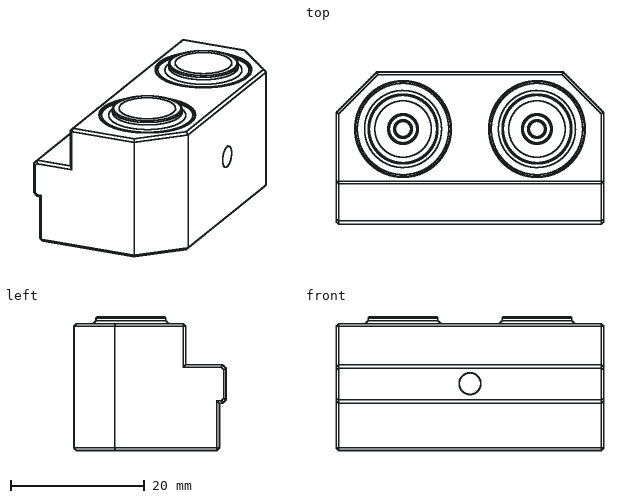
import cadquery as cq

LENGTH = 40.0
DEPTH = 22.75
BLOCK_HEIGHT = 18.95
CORNER_CUT = 6.1
LEDGE_BOTTOM = 7.05
LEDGE_TOP = 12.85
LOWER_WALL_SETBACK = 1.0
UPPER_WALL_SETBACK = 6.05
EDGE_CHAMFER = 0.4
SELECTION_MARGIN = 0.05
LEDGE_CHAMFER = 0.55
CROSS_HOLE_DIAMETER = 3.2
CROSS_HOLE_HEIGHT = 10.0

BUSHING_SPACING = 20.0
BUSHING_SETBACK = 14.25
BUSHING_TOP = 20.0
BUSHING_DIAMETER = 14.2
FLANGE_RECESS = 0.1
FLANGE_CHAMFER = 0.3
SEAT_MOUTH_CHAMFER = 0.1
CONE_BASE_DIAMETER = 11.5
FLANGE_TOP = BLOCK_HEIGHT - FLANGE_RECESS
RIM_DIAMETER = 10.45
RIM_HEIGHT = 0.6
RIM_CHAMFER = 0.2
BORE_DIAMETER = 8.45

BUSHING_BOTTOM = 6.0

COUNTERBORE_DIAMETER = 4.1
COUNTERBORE_DEPTH = 3.0
SCREW_HOLE_DIAMETER = 2.3
HOLE_CHAMFER = 0.25

BUSHING_CENTRES = [(side * BUSHING_SPACING / 2, BUSHING_SETBACK) for side in (-1, 1)]


def cylinder(diameter, bottom, top):
    return cq.Workplane("XY").workplane(offset=bottom).circle(diameter / 2).extrude(top - bottom)


def countersink(diameter, top, chamfer):
    """45 degree cone that chamfers the mouth of a hole at height top."""
    radius = diameter / 2
    cone = cq.Solid.makeCone(radius, radius + chamfer, chamfer,
                             pnt=cq.Vector(0, 0, top - chamfer))
    return cq.Workplane(obj=cone)


def stepped_side_profile():
    profile = [
        (LOWER_WALL_SETBACK, 0),
        (DEPTH, 0),
        (DEPTH, BLOCK_HEIGHT),
        (UPPER_WALL_SETBACK, BLOCK_HEIGHT),
        (UPPER_WALL_SETBACK, LEDGE_TOP),
        (0, LEDGE_TOP),
        (0, LEDGE_BOTTOM),
        (LOWER_WALL_SETBACK, LEDGE_BOTTOM),
    ]
    return cq.Workplane("YZ").polyline(profile).close().extrude(LENGTH / 2, both=True)


def block_with_edges():
    half = LENGTH / 2
    plan = [
        (-half, 0),
        (half, 0),
        (half, DEPTH - CORNER_CUT),
        (half - CORNER_CUT, DEPTH),
        (CORNER_CUT - half, DEPTH),
        (-half, DEPTH - CORNER_CUT),
    ]
    outline = cq.Workplane("XY").polyline(plan).close().extrude(BLOCK_HEIGHT)
    block = stepped_side_profile().intersect(outline)

    block = block.faces("<Y").edges("|X").chamfer(LEDGE_CHAMFER)
    outline_edges = block.faces("<Z or >Z or <X or >X").edges().vals()
    corner_y = DEPTH - CORNER_CUT
    middle_z = BLOCK_HEIGHT / 2
    corner_edges = block.edges(cq.selectors.BoxSelector(
        (-LENGTH, corner_y - SELECTION_MARGIN, middle_z - SELECTION_MARGIN),
        (LENGTH, corner_y + SELECTION_MARGIN, middle_z + SELECTION_MARGIN),
    )).edges("|Z").vals()
    chamfered = [edge for edge in outline_edges if not any(edge.isSame(corner) for corner in corner_edges)]
    return block.newObject(chamfered).chamfer(EDGE_CHAMFER)


def screw_hole_cutter():
    """Counterbored through hole on the Z axis, with both mouths chamfered."""
    counterbore_floor = BUSHING_BOTTOM - COUNTERBORE_DEPTH
    return (
        cylinder(SCREW_HOLE_DIAMETER, 0, BUSHING_BOTTOM)
        .union(cylinder(COUNTERBORE_DIAMETER, counterbore_floor, BUSHING_BOTTOM))
        .union(countersink(COUNTERBORE_DIAMETER, BUSHING_BOTTOM, HOLE_CHAMFER))
        .union(countersink(SCREW_HOLE_DIAMETER, counterbore_floor, HOLE_CHAMFER))
    )


def make_housing():
    housing = block_with_edges()
    cross_hole = (
        cq.Workplane("XZ")
        .center(0, CROSS_HOLE_HEIGHT)
        .circle(CROSS_HOLE_DIAMETER / 2)
        .extrude(-DEPTH)
    )
    housing = housing.cut(cross_hole)
    seat = cylinder(BUSHING_DIAMETER, BUSHING_BOTTOM, BLOCK_HEIGHT)
    seat = seat.union(countersink(BUSHING_DIAMETER, BLOCK_HEIGHT, SEAT_MOUTH_CHAMFER))
    for x, y in BUSHING_CENTRES:
        housing = housing.cut(seat.translate((x, y, 0)))
        housing = housing.cut(screw_hole_cutter().translate((x, y, 0)))
    return housing


def make_bushing(x, y):
    """Sleeve with a chamfered shoulder, a cone and a straight rim on top."""
    shoulder_radius = BUSHING_DIAMETER / 2
    rim_radius = RIM_DIAMETER / 2
    bore_radius = BORE_DIAMETER / 2
    rim_bottom = BUSHING_TOP - RIM_HEIGHT
    half_section = [
        (bore_radius, BUSHING_BOTTOM),
        (shoulder_radius, BUSHING_BOTTOM),
        (shoulder_radius, FLANGE_TOP - FLANGE_CHAMFER),
        (shoulder_radius - FLANGE_CHAMFER, FLANGE_TOP),
        (CONE_BASE_DIAMETER / 2, FLANGE_TOP),
        (rim_radius, rim_bottom),
        (rim_radius, BUSHING_TOP - RIM_CHAMFER),
        (rim_radius - RIM_CHAMFER, BUSHING_TOP),
        (bore_radius, BUSHING_TOP),
    ]
    bushing = cq.Workplane("XZ").polyline(half_section).close().revolve(360, (0, 0), (0, 1))
    return bushing.translate((x, y, 0))


housing = make_housing()
bushings = [make_bushing(x, y) for x, y in BUSHING_CENTRES]
result = cq.Compound.makeCompound([housing.val(), *[bushing.val() for bushing in bushings]])